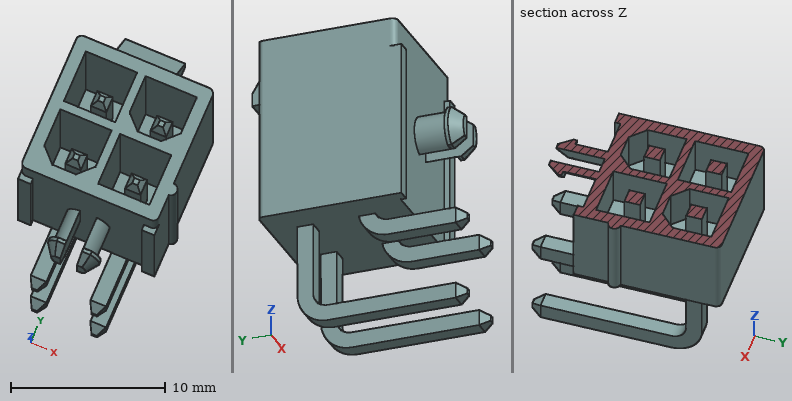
import cadquery as cq


total_height = 19.93
housing_bottom = 7.13
housing_width = 9.6
housing_height = total_height - housing_bottom
half_width = housing_width / 2
corner_radius = 0.4

rib_width = 0.9
rib_height = 0.38
rib_drop = 2.0

ridge_y = -2.4
ridge_height = 0.4
ridge_radius = 0.42

latch_width = 4.23
latch_reach = 1.42
latch_nose_drop = 2.27
latch_nose_bottom_drop = 3.17
latch_root_bottom_drop = 3.1

pitch = 4.2
half_pitch = pitch / 2
cavity_size = 3.6
cavity_depth = 9.96
key_chamfer = 0.98

pin_size = 1.1
pin_offset_y = 0.22
pin_tip_length = 0.68
pin_tip_size = 0.38
pin_top = total_height - 3.99
pin_end_y = -8.79
bend_inner_radius = 1.04
bend_outer_radius = bend_inner_radius + pin_size
leg_row_spacing = 5.46

peg_z = 13.33
peg_slot = 1.18
shank_radius = 1.5
collar_radius = 1.81
nose_radius = 1.22
collar_half_height = 1.38
nose_half_height = 0.75
shank_length = 2.2
collar_length = 0.25
nose_length = 0.84


def make_housing():
    """Block with rounded vertical edges, ribs, key ridge and latch ramp."""
    block = (
        cq.Workplane("XY", origin=(0, 0, housing_bottom))
        .rect(housing_width, housing_width)
        .extrude(housing_height)
        .edges("|Z")
        .fillet(corner_radius)
    )
    rib_depth = rib_height + corner_radius
    for side in (-1, 1):
        rib = (
            cq.Workplane("XY", origin=(0, 0, housing_bottom))
            .center(side * (half_width - rib_width / 2), -half_width - rib_height + rib_depth / 2)
            .rect(rib_width, rib_depth)
            .extrude(housing_height - rib_drop)
        )
        block = block.union(rib)
    return block.union(make_ridge()).union(make_latch())


def make_ridge():
    """Full-height half-round ridge."""
    return (
        cq.Workplane("XY", origin=(half_width, ridge_y, housing_bottom))
        .center(ridge_height - ridge_radius, 0)
        .circle(ridge_radius)
        .extrude(housing_height)
    )


def make_latch():
    """Ramp that starts flush with the housing top and ends in a hooked nose."""
    return (
        cq.Workplane("YZ", origin=(0, half_width, total_height))
        .moveTo(0, 0)
        .lineTo(latch_reach, -latch_nose_drop)
        .lineTo(latch_reach, -latch_nose_bottom_drop)
        .lineTo(0, -latch_root_bottom_drop)
        .close()
        .extrude(latch_width / 2, both=True)
    )


def make_cavity(column, row, keyed):
    """Square cavity, with its two front corners cut off when keyed."""
    cavity = (
        cq.Workplane("XY", origin=(column * half_pitch, row * half_pitch, total_height))
        .rect(cavity_size, cavity_size)
        .extrude(-cavity_depth)
    )
    if keyed:
        cavity = cavity.faces("<Y").edges("|Z").chamfer(key_chamfer)
    return cavity


def make_tip(base_plane):
    """Blunt pyramid that tapers along the normal of its base plane."""
    return (
        cq.Workplane(base_plane)
        .rect(pin_size, pin_size)
        .workplane(offset=pin_tip_length)
        .rect(pin_tip_size, pin_tip_size)
        .loft(combine=True)
    )


def make_pin(column, row):
    """Square pin that drops from its cavity and bends forward; the front row bends higher up."""
    x = column * half_pitch
    y = row * half_pitch + pin_offset_y
    leg_bottom = 0 if row > 0 else leg_row_spacing
    leg_top = leg_bottom + pin_size
    rear = y + pin_size / 2
    front = y - pin_size / 2
    bend_y = rear - bend_outer_radius
    bend_z = leg_bottom + bend_outer_radius
    shaft_top = pin_top - pin_tip_length
    leg_end = pin_end_y + pin_tip_length

    diagonal = 0.5 ** 0.5
    outer_mid = (bend_y + bend_outer_radius * diagonal, bend_z - bend_outer_radius * diagonal)
    inner_mid = (bend_y + bend_inner_radius * diagonal, bend_z - bend_inner_radius * diagonal)

    bar = (
        cq.Workplane("YZ", origin=(x, 0, 0))
        .moveTo(rear, shaft_top)
        .lineTo(rear, bend_z)
        .threePointArc(outer_mid, (bend_y, leg_bottom))
        .lineTo(leg_end, leg_bottom)
        .lineTo(leg_end, leg_top)
        .lineTo(bend_y, leg_top)
        .threePointArc(inner_mid, (front, bend_z))
        .lineTo(front, shaft_top)
        .close()
        .extrude(pin_size / 2, both=True)
    )
    contact_tip = make_tip(cq.Plane((x, y, shaft_top), (1, 0, 0), (0, 0, 1)))
    leg_tip = make_tip(cq.Plane((x, leg_end, leg_bottom + pin_size / 2), (1, 0, 0), (0, -1, 0)))
    return bar.union(contact_tip).union(leg_tip)


def make_peg():
    """Round shank with a wider tapered head, flattened above and below and split by a slot."""
    collar_start = -half_width - shank_length
    nose_start = collar_start - collar_length
    peg_end = nose_start - nose_length

    turned = (
        cq.Workplane("XY", origin=(0, 0, peg_z))
        .moveTo(0, -half_width)
        .lineTo(shank_radius, -half_width)
        .lineTo(shank_radius, collar_start)
        .lineTo(collar_radius, collar_start)
        .lineTo(collar_radius, nose_start)
        .lineTo(nose_radius, peg_end)
        .lineTo(0, peg_end)
        .close()
        .revolve(360, (0, 0, 0), (0, 1, 0))
    )
    flats = (
        cq.Workplane("YZ", origin=(0, 0, peg_z))
        .moveTo(-half_width, collar_half_height)
        .lineTo(nose_start, collar_half_height)
        .lineTo(peg_end, nose_half_height)
        .lineTo(peg_end, -nose_half_height)
        .lineTo(nose_start, -collar_half_height)
        .lineTo(-half_width, -collar_half_height)
        .close()
        .extrude(collar_radius, both=True)
    )
    peg_length = -half_width - peg_end
    slot = cq.Workplane("XY").box(peg_slot, peg_length, 2 * collar_radius)
    slot = slot.translate((0, peg_end + peg_length / 2, peg_z))
    return turned.intersect(flats).cut(slot)


positions = [(column, row) for column in (-1, 1) for row in (-1, 1)]

result = make_housing().union(make_peg())
for column, row in positions:
    result = result.cut(make_cavity(column, row, keyed=(column == row)))
for column, row in positions:
    result = result.union(make_pin(column, row))